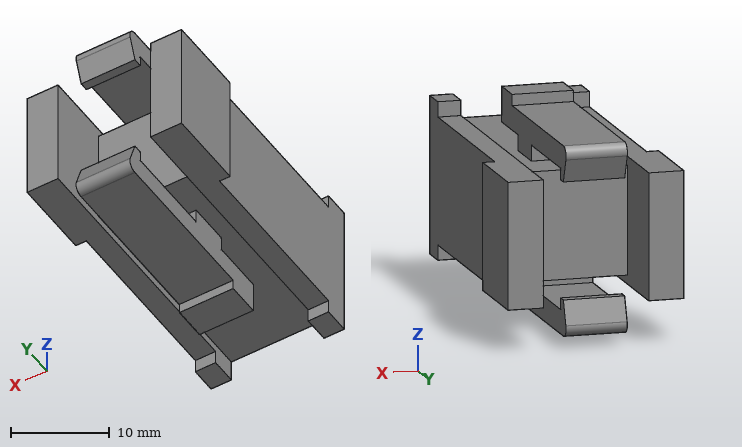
import cadquery as cq
import math

core_height = 11.44
core_length = 25.0
housing_width = 16.06
wall_thickness = 2.45
wall_height = 13.35
wall_length = 32.66

end_post_height = 16.54
end_post_length = 2.98

overall_width = 18.6
pad_start = 23.5

latch_width = 6.49
latch_top = 22.19 / 2
lever_top = latch_top - 1.17
lever_bottom = latch_top - 3.72
thumb_start = 9.68
thumb_end = 13.46
pedestal_start = 15.64
pedestal_end = 20.43
hook_start = 30.96
hook_depth = 1.22
nose_end = 32.92
nose_radius = 0.95
nose_angle = math.radians(20)


def block(width, y_start, y_end, height):
    """Box centred on x and z, reaching from y_start to y_end."""
    length = y_end - y_start
    return cq.Workplane("XY").box(width, length, height).translate((0, y_start + length / 2, 0))


def make_side_wall(side):
    """One side wall with its end post and rear pad; side is -1 or +1 along x."""
    wall_x = side * (housing_width - wall_thickness) / 2
    padded_thickness = wall_thickness + (overall_width - housing_width) / 2
    padded_x = side * (overall_width - padded_thickness) / 2
    wall = block(wall_thickness, 0, wall_length, wall_height).translate((wall_x, 0, 0))
    post = block(wall_thickness, 0, end_post_length, end_post_height).translate((wall_x, 0, 0))
    pad = block(padded_thickness, pad_start, wall_length, wall_height).translate((padded_x, 0, 0))
    return wall.union(post).union(pad)


def make_latch():
    """Upper latch, drawn as a YZ outline and extruded across its width."""
    core_top = core_height / 2
    hook_bottom = lever_bottom - hook_depth

    nose_y = nose_end - nose_radius
    nose_z = lever_top - nose_radius
    arc_middle_angle = (math.pi / 2 - nose_angle) / 2
    arc_middle = (
        nose_y + nose_radius * math.cos(arc_middle_angle),
        nose_z + nose_radius * math.sin(arc_middle_angle),
    )
    slant_top_y = nose_y + nose_radius * math.cos(nose_angle)
    slant_top_z = nose_z - nose_radius * math.sin(nose_angle)
    hook_end = slant_top_y - (slant_top_z - hook_bottom) * math.tan(nose_angle)

    return (
        cq.Workplane("YZ")
        .moveTo(thumb_start, lever_bottom)
        .lineTo(thumb_start, latch_top)
        .lineTo(thumb_end, latch_top)
        .lineTo(thumb_end, lever_top)
        .lineTo(nose_y, lever_top)
        .threePointArc(arc_middle, (slant_top_y, slant_top_z))
        .lineTo(hook_end, hook_bottom)
        .lineTo(hook_start, hook_bottom)
        .lineTo(hook_start, lever_bottom)
        .lineTo(pedestal_end, lever_bottom)
        .lineTo(pedestal_end, core_top)
        .lineTo(pedestal_start, core_top)
        .lineTo(pedestal_start, lever_bottom)
        .close()
        .extrude(latch_width / 2, both=True)
    )


core = block(housing_width - 2 * wall_thickness, 0, core_length, core_height)
upper_latch = make_latch()
lower_latch = upper_latch.mirror("XY")

result = (
    core.union(make_side_wall(-1))
    .union(make_side_wall(1))
    .union(upper_latch)
    .union(lower_latch)
)